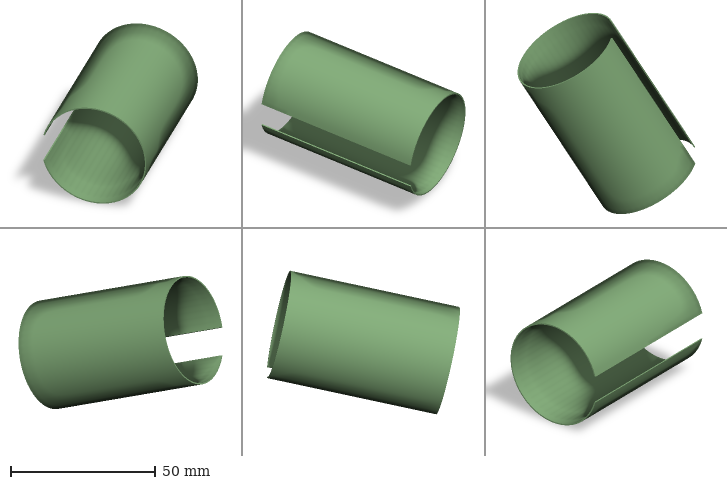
import cadquery as cq

length = 60.0
outer_diameter = 38.1
wall = 0.5
slot_width = 10.0

outer_radius = outer_diameter / 2
inner_radius = outer_radius - wall

tube = (
    cq.Workplane("XZ")
    .circle(outer_radius)
    .circle(inner_radius)
    .extrude(length / 2, both=True)
)

slot = cq.Workplane("XY").box(outer_diameter, length, slot_width).translate((-outer_radius, 0, 0))

result = tube.cut(slot)